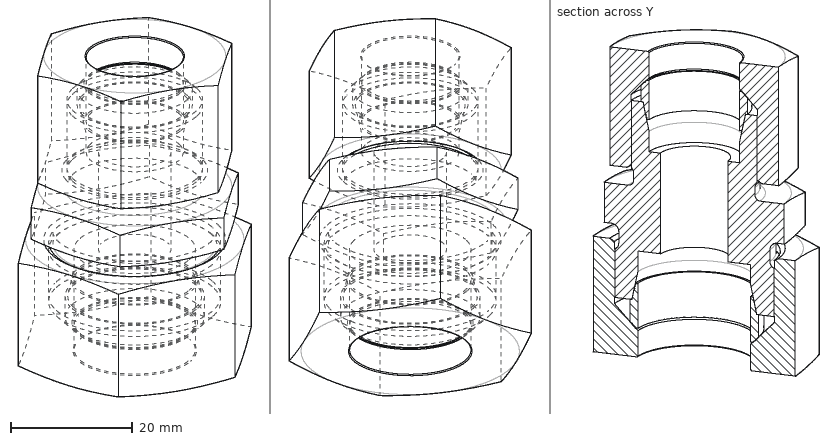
import cadquery as cq
import math


total_length = 53.0
lower_nut_length = 20.0
lower_gap = 2.55
upper_nut_length = 20.5
body_hex_length = 7.0
upper_gap = total_length - lower_nut_length - lower_gap - body_hex_length - upper_nut_length
body_hex_flats = 32.0
through_bore_diameter = 12.0

hex_chamfer_angle = 15.0

nut_bore_depth = 4.6
nut_mouth_chamfer = 0.185
countersink_angle = 30.0
ring_back_width = 0.35
ring_thickness = 1.5
ring_nose_thickness = 0.4
mouth_step = 0.4
seat_angle = 12.0
body_end_clearance = 1.0
tube_socket_depth = 8.5

lower_end = {
    "nut_flats": 36.0,
    "nut_length": lower_nut_length,
    "gap": lower_gap,
    "tube_diameter": 20.0,
    "thread_diameter": 28.35,
    "countersink_diameter": 30.0,
    "neck_diameter": 27.0,
    "neck_length": 2.0,
    "neck_fillet": 1.2,
}
upper_end = {
    "nut_flats": 30.0,
    "nut_length": upper_nut_length,
    "gap": upper_gap,
    "tube_diameter": 16.0,
    "thread_diameter": 22.35,
    "countersink_diameter": 24.0,
    "neck_diameter": 21.7,
    "neck_length": 1.3,
    "neck_fillet": 0.9,
}


def revolve_profile(profile):
    """Turn a closed (radius, z) profile around the Z axis."""
    return profile.close().revolve(360, (0, 0, 0), (0, 1, 0))


def move_to_top(shape):
    """Turn an end over so that its outer face lies on the top of the fitting."""
    return shape.rotate((0, 0, 0), (1, 0, 0), 180).translate((0, 0, total_length))


def chamfered_hexagon(flats, length):
    """Hexagonal bar on Z = 0 with corners on the Y axis and both ends turned conical."""
    flat_radius = flats / 2
    corner_radius = flat_radius / math.cos(math.radians(30))
    chamfer_drop = (corner_radius - flat_radius) * math.tan(math.radians(hex_chamfer_angle))
    prism = cq.Workplane("XY").polygon(6, 2 * corner_radius).extrude(length)
    prism = prism.rotate((0, 0, 0), (0, 0, 1), 90)
    envelope = revolve_profile(
        cq.Workplane("XZ")
        .moveTo(0, 0)
        .lineTo(flat_radius, 0)
        .lineTo(corner_radius, chamfer_drop)
        .lineTo(corner_radius, length - chamfer_drop)
        .lineTo(flat_radius, length)
        .lineTo(0, length)
    )
    return prism.intersect(envelope)


def nut_shoulder_depth(end):
    """Depth at which the nut's 45 degree shoulder reaches the thread."""
    return nut_bore_depth + (end["thread_diameter"] - end["tube_diameter"]) / 2


def body_end_depth(end):
    return nut_shoulder_depth(end) + body_end_clearance


def mouth_radius(end):
    return end["tube_diameter"] / 2 + ring_thickness - mouth_step


def make_nut(end):
    """Union nut: tube bore, 45 degree shoulder over the ring, then the countersunk thread bore."""
    length = end["nut_length"]
    bore_radius = end["tube_diameter"] / 2
    thread_radius = end["thread_diameter"] / 2
    countersink_radius = end["countersink_diameter"] / 2
    countersink_depth = (countersink_radius - thread_radius) * math.tan(math.radians(countersink_angle))
    cavity = revolve_profile(
        cq.Workplane("XZ")
        .moveTo(0, 0)
        .lineTo(bore_radius + nut_mouth_chamfer, 0)
        .lineTo(bore_radius, nut_mouth_chamfer)
        .lineTo(bore_radius, nut_bore_depth)
        .lineTo(thread_radius, nut_shoulder_depth(end))
        .lineTo(thread_radius, length - countersink_depth)
        .lineTo(countersink_radius, length)
        .lineTo(0, length)
    )
    return chamfered_hexagon(end["nut_flats"], length).cut(cavity)


def make_ring(end):
    """Cutting ring: 45 degree back under the nut and a tapered nose in the body seat."""
    tube_radius = end["tube_diameter"] / 2
    outer_radius = tube_radius + ring_thickness
    back_radius = tube_radius + ring_back_width
    back_depth = nut_bore_depth + ring_back_width
    nose_radius = tube_radius + ring_nose_thickness
    shoulder_depth = body_end_depth(end)
    nose_length = (mouth_radius(end) - nose_radius) / math.tan(math.radians(seat_angle))
    return revolve_profile(
        cq.Workplane("XZ")
        .moveTo(tube_radius, back_depth)
        .lineTo(back_radius, back_depth)
        .lineTo(outer_radius, back_depth + outer_radius - back_radius)
        .lineTo(outer_radius, shoulder_depth)
        .lineTo(mouth_radius(end), shoulder_depth)
        .lineTo(nose_radius, shoulder_depth + nose_length)
        .lineTo(tube_radius, shoulder_depth + nose_length)
    )


def make_stem(end):
    """Stem of the body: a plain thread cylinder that runs out into a filleted neck at the hexagon."""
    thread_radius = end["thread_diameter"] / 2
    neck_radius = end["neck_diameter"] / 2
    fillet = end["neck_fillet"]
    hex_depth = end["nut_length"] + end["gap"]
    neck_end = hex_depth - fillet
    neck_start = neck_end - end["neck_length"]
    fillet_center_radius = neck_radius + fillet
    runout_length = math.sqrt(fillet**2 - (fillet_center_radius - thread_radius) ** 2)
    thread_end = neck_start - runout_length
    return revolve_profile(
        cq.Workplane("XZ")
        .moveTo(0, body_end_depth(end))
        .lineTo(thread_radius, body_end_depth(end))
        .lineTo(thread_radius, thread_end)
        .radiusArc((neck_radius, neck_start), fillet)
        .lineTo(neck_radius, neck_end)
        .radiusArc((fillet_center_radius, hex_depth), fillet)
        .lineTo(0, hex_depth)
    )


def make_socket(end):
    """Space cut into the stem: the conical ring seat and the tube socket behind it."""
    tube_radius = end["tube_diameter"] / 2
    start = body_end_depth(end)
    seat_length = (mouth_radius(end) - tube_radius) / math.tan(math.radians(seat_angle))
    return revolve_profile(
        cq.Workplane("XZ")
        .moveTo(0, start)
        .lineTo(mouth_radius(end), start)
        .lineTo(tube_radius, start + seat_length)
        .lineTo(tube_radius, start + tube_socket_depth)
        .lineTo(0, start + tube_socket_depth)
    )


def make_body():
    """Union body: hexagon, a stem at each end, two tube sockets and the through bore."""
    hex_bottom = lower_end["nut_length"] + lower_end["gap"]
    hexagon = chamfered_hexagon(body_hex_flats, body_hex_length).translate((0, 0, hex_bottom))
    through_bore = cq.Workplane("XY").circle(through_bore_diameter / 2).extrude(total_length)
    return (
        hexagon
        .union(make_stem(lower_end))
        .union(move_to_top(make_stem(upper_end)))
        .cut(make_socket(lower_end))
        .cut(move_to_top(make_socket(upper_end)))
        .cut(through_bore)
    )


body = make_body()
lower_nut = make_nut(lower_end)
upper_nut = move_to_top(make_nut(upper_end))
lower_ring = make_ring(lower_end)
upper_ring = move_to_top(make_ring(upper_end))

result = cq.Compound.makeCompound([
    body.val(),
    lower_nut.val(),
    upper_nut.val(),
    lower_ring.val(),
    upper_ring.val(),
])